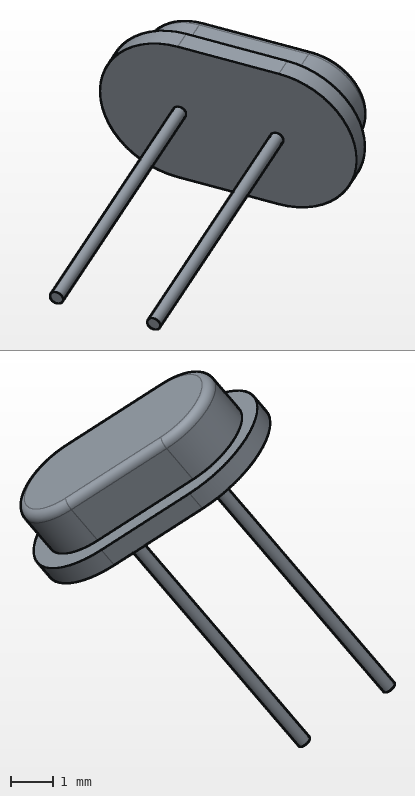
import cadquery as cq

flange_length = 6.6
flange_width = 4.0
flange_thickness = 0.52

can_length = 5.7
can_width = 2.89
body_height = 1.8
can_edge_radius = 0.23

lead_diameter = 0.34
lead_pitch = 2.5
lead_length = 7.5


def rounded_plate(length, width, start_y, end_y):
    """Plate with full-round ends, long along X, running from start_y to end_y."""
    return (
        cq.Workplane("XZ", origin=(0, start_y, 0))
        .slot2D(length, width)
        .extrude(start_y - end_y)
    )


def make_flange():
    return rounded_plate(flange_length, flange_width, 0, flange_thickness)


def make_can():
    """Can on the flange, with its outer top edge rounded."""
    can = rounded_plate(can_length, can_width, flange_thickness, body_height)
    return can.faces(">Y").edges().fillet(can_edge_radius)


def make_leads():
    """Pair of round wire leads, starting at the seating face."""
    return (
        cq.Workplane("XZ")
        .pushPoints([(-lead_pitch / 2, 0), (lead_pitch / 2, 0)])
        .circle(lead_diameter / 2)
        .extrude(lead_length)
    )


result = make_flange().union(make_can()).union(make_leads())